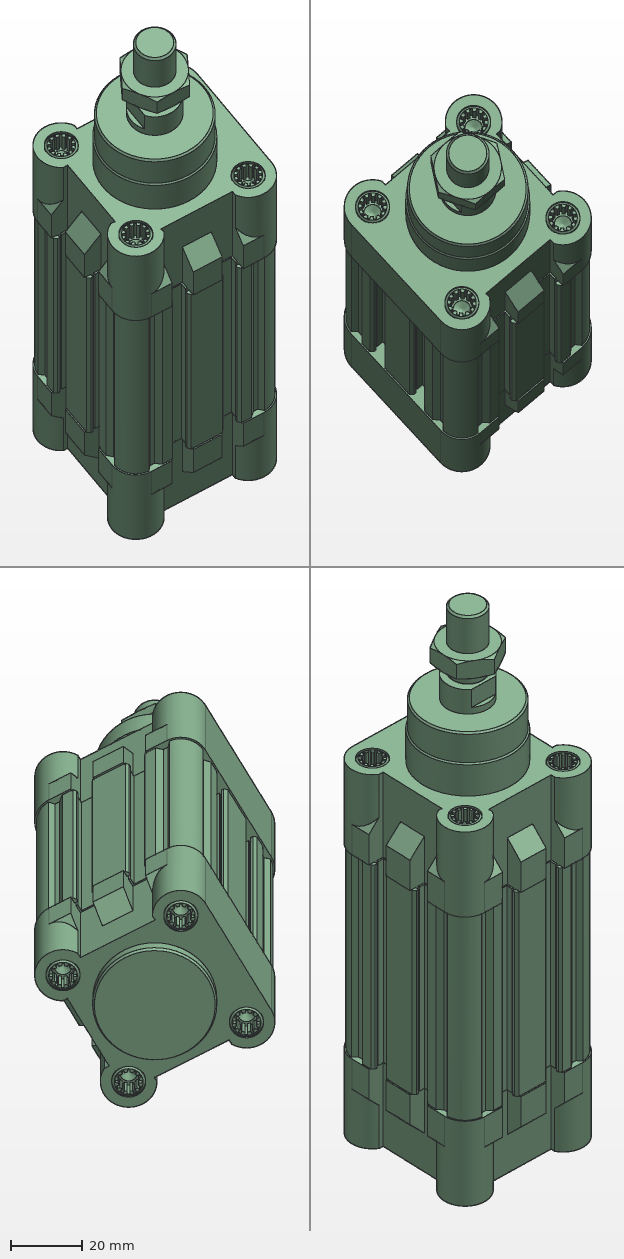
import cadquery as cq
import math


lower_cap_bottom = 4.1
cap_height = 29.5
barrel_height = 70.9
collar_height = 21.6
collar_lower_height = 11.3
shoulder_height = 8.5
total_height = 188.0
barrel_bottom = lower_cap_bottom + cap_height
barrel_top = barrel_bottom + barrel_height
upper_cap_top = barrel_top + cap_height
collar_top = upper_cap_top + collar_height
shoulder_top = collar_top + shoulder_height

cap_width = 54.0
cap_half = cap_width / 2
lobe_radius = 7.99
lobe_offset = cap_half - lobe_radius
core_half = 21.5
lobe_gap_half = 12.0
rib_half_width = 4.9
wedge_height = 10.5
wall_depth = cap_half - core_half

screw_diameter = 9.5
screw_head_top_diameter = 8.0
screw_head_chamfer = 0.8
socket_inner_diameter = 6.0
socket_outer_diameter = 7.5
socket_notch_count = 12
socket_notch_width = 0.8
socket_depth = 5.6
tip_diameter = 4.9
tip_depth = 1.5

barrel_half = 26.5
slot_floor = 21.8
slot_inner = 5.5
slot_outer = 11.5
undercut_floor = 23.9
undercut_inner = 4.9
undercut_outer = 12.0
lip_inner = 6.0
lip_outer = 10.9
lip_bottom = 24.8
lip_crest = 25.5
slot_mouth_inner = 5.3
slot_mouth_outer = 11.7
groove_start = 15.0
groove_floor_start = 16.7
groove_floor_end = 18.2
groove_end = 19.5
groove_floor = 25.0

collar_lower_diameter = 35.0
collar_upper_diameter = 34.0
collar_top_chamfer = 0.5
collar_neck_chamfer = (collar_lower_diameter - collar_upper_diameter) / 2
spigot_chamfer = 1.0

shoulder_diameter = 16.0
shoulder_across_flats = 13.0
shoulder_flat_height = 6.2
thread_diameter = 12.0
thread_end_diameter = 10.7
thread_chamfer = (thread_diameter - thread_end_diameter) / 2

nut_across_flats = 19.0
nut_bottom = 169.0
nut_height = 6.2
nut_chamfer = 0.5
hexagon_ratio = 2 / math.sqrt(3)


def block(x_min, x_max, y_min, y_max, z_min, z_max):
    size = (x_max - x_min, y_max - y_min, z_max - z_min)
    return cq.Workplane("XY").box(*size, centered=False).translate((x_min, y_min, z_min))


def turn(body, angle):
    return body.rotate((0, 0, 0), (0, 0, 1), angle)


def corner_points(offset):
    return [(x, y) for x in (-offset, offset) for y in (-offset, offset)]


def cap_outline():
    """Right half of the cap outline: flat +Y side, lobes at the corners, recessed +X and -Y sides."""
    arc_middle = lobe_offset + lobe_radius * math.sqrt(0.5)
    lobe_end = lobe_offset + math.sqrt(lobe_radius**2 - (lobe_offset - lobe_gap_half) ** 2)
    return (
        cq.Workplane("XY")
        .moveTo(0, cap_half)
        .lineTo(lobe_offset, cap_half)
        .threePointArc((arc_middle, arc_middle), (lobe_end, lobe_gap_half))
        .lineTo(core_half, lobe_gap_half)
        .lineTo(core_half, -lobe_gap_half)
        .lineTo(lobe_end, -lobe_gap_half)
        .threePointArc((arc_middle, -arc_middle), (lobe_gap_half, -lobe_end))
        .lineTo(lobe_gap_half, -core_half)
        .lineTo(0, -core_half)
    )


def cap_side_wedges():
    """Centre rib and two lobe shoulders of the -Y side, all ending in a 45 degree slope."""
    slope_profile = [
        (-core_half, 0),
        (-cap_half, 0),
        (-cap_half, wedge_height),
        (-core_half, wedge_height + wall_depth),
    ]
    full_width = cq.Workplane("YZ").polyline(slope_profile).close().extrude(lobe_offset, both=True)
    channel = block(rib_half_width, lobe_gap_half, -cap_half, -core_half, 0, cap_height)
    return full_width.cut(channel).cut(channel.mirror("YZ"))


def screw_recess():
    """Space around and inside one screw head, with the cap face at z = 0."""
    rim = cq.Workplane("XY").circle(screw_diameter / 2).extrude(-screw_head_chamfer)
    head_base = cq.Vector(0, 0, -screw_head_chamfer)
    head = cq.Solid.makeCone(screw_diameter / 2, screw_head_top_diameter / 2, screw_head_chamfer, pnt=head_base)
    socket = cq.Workplane("XY").circle(socket_inner_diameter / 2).extrude(-socket_depth)
    notch = cq.Workplane("XY").rect(socket_outer_diameter, socket_notch_width).extrude(-socket_depth)
    notch = notch.intersect(cq.Workplane("XY").circle(socket_outer_diameter / 2).extrude(-socket_depth))
    for index in range(socket_notch_count // 2):
        socket = socket.union(turn(notch, index * 360 / socket_notch_count))
    tip_base = cq.Vector(0, 0, -socket_depth)
    tip = cq.Solid.makeCone(tip_diameter / 2, 0, tip_depth, pnt=tip_base, dir=cq.Vector(0, 0, -1))
    return rim.cut(cq.Workplane(head)).union(socket).union(cq.Workplane(tip))


def make_cap():
    """End cap with its barrel face at z = 0."""
    cap = cap_outline().mirrorY().extrude(cap_height)
    wedges = cap_side_wedges()
    for angle in (-90, 0, 90):
        cap = cap.union(turn(wedges, angle))
    recess = screw_recess()
    for x, y in corner_points(lobe_offset):
        cap = cap.cut(recess.translate((x, y, cap_height)))
    return cap


def barrel_slots():
    """T-slot and shallow groove beside the centre rib of the -Y side, on both sides of the rib."""
    slot = [
        (slot_inner, -slot_floor),
        (slot_outer, -slot_floor),
        (slot_outer, -undercut_floor),
        (undercut_outer, -undercut_floor),
        (undercut_outer, -lip_bottom),
        (lip_outer, -lip_bottom),
        (lip_outer, -lip_crest),
        (slot_mouth_outer, -barrel_half),
        (slot_mouth_inner, -barrel_half),
        (lip_inner, -lip_crest),
        (lip_inner, -lip_bottom),
        (undercut_inner, -lip_bottom),
        (undercut_inner, -undercut_floor),
        (slot_inner, -undercut_floor),
    ]
    groove = [
        (groove_start, -barrel_half),
        (groove_floor_start, -groove_floor),
        (groove_floor_end, -groove_floor),
        (groove_end, -barrel_half),
    ]
    right_cut = cq.Workplane("XY").polyline(slot).close().polyline(groove).close().extrude(barrel_height)
    return right_cut.union(right_cut.mirror("YZ"))


def make_barrel():
    barrel = (
        cq.Workplane("XY")
        .rect(2 * barrel_half, 2 * barrel_half)
        .extrude(barrel_height)
        .edges("|Z")
        .fillet(barrel_half - lobe_offset)
    )
    slots = barrel_slots()
    for angle in (0, 90, 180, 270):
        barrel = barrel.cut(turn(slots, angle))
    return barrel


def make_collar():
    lower = (
        cq.Workplane("XY")
        .circle(collar_lower_diameter / 2)
        .extrude(collar_lower_height)
        .faces(">Z")
        .chamfer(collar_neck_chamfer)
    )
    upper = (
        cq.Workplane("XY", origin=(0, 0, collar_lower_height))
        .circle(collar_upper_diameter / 2)
        .extrude(collar_height - collar_lower_height)
        .faces(">Z")
        .chamfer(collar_top_chamfer)
    )
    return lower.union(upper)


def make_spigot():
    return (
        cq.Workplane("XY")
        .circle(collar_lower_diameter / 2)
        .extrude(lower_cap_bottom)
        .faces("<Z")
        .chamfer(spigot_chamfer, collar_neck_chamfer)
    )


def make_housing():
    cap = make_cap()
    housing = make_barrel().translate((0, 0, barrel_bottom))
    housing = housing.union(cap.translate((0, 0, barrel_top)))
    housing = housing.union(cap.mirror("XY").translate((0, 0, barrel_bottom)))
    housing = housing.union(make_collar().translate((0, 0, upper_cap_top)))
    housing = housing.union(make_spigot())
    rod_bore = cq.Workplane("XY", origin=(0, 0, upper_cap_top)).circle(shoulder_diameter / 2).extrude(collar_height)
    return housing.cut(rod_bore)


def make_rod():
    """Round rod seated in the collar, with two wrench flats facing -Y and +Y below its threaded end."""
    rod = (
        cq.Workplane("XY", origin=(0, 0, upper_cap_top))
        .circle(shoulder_diameter / 2)
        .extrude(shoulder_top - upper_cap_top)
    )
    radius = shoulder_diameter / 2
    flat = shoulder_across_flats / 2
    flat_cut = block(-radius, radius, -radius, -flat, shoulder_top - shoulder_flat_height, shoulder_top)
    rod = rod.cut(flat_cut).cut(turn(flat_cut, 180))
    thread = (
        cq.Workplane("XY", origin=(0, 0, shoulder_top))
        .circle(thread_diameter / 2)
        .extrude(total_height - shoulder_top)
        .faces("<Z or >Z")
        .chamfer(thread_chamfer)
    )
    return rod.union(thread)


def make_nut():
    """Hexagon nut with its corners on the Y axis and both ends turned down at the corners."""
    corner_radius = nut_across_flats * hexagon_ratio / 2
    hexagon = turn(cq.Workplane("XY").polygon(6, 2 * corner_radius).extrude(nut_height), 90)
    turned = cq.Workplane("XY").circle(corner_radius).extrude(nut_height).faces("<Z or >Z").chamfer(
        nut_chamfer, corner_radius - nut_across_flats / 2
    )
    bore = cq.Workplane("XY").circle(thread_diameter / 2).extrude(nut_height)
    return hexagon.intersect(turned).cut(bore).translate((0, 0, nut_bottom))


housing = make_housing()
rod = make_rod()
nut = make_nut()

result = cq.Compound.makeCompound([housing.val(), rod.val(), nut.val()])